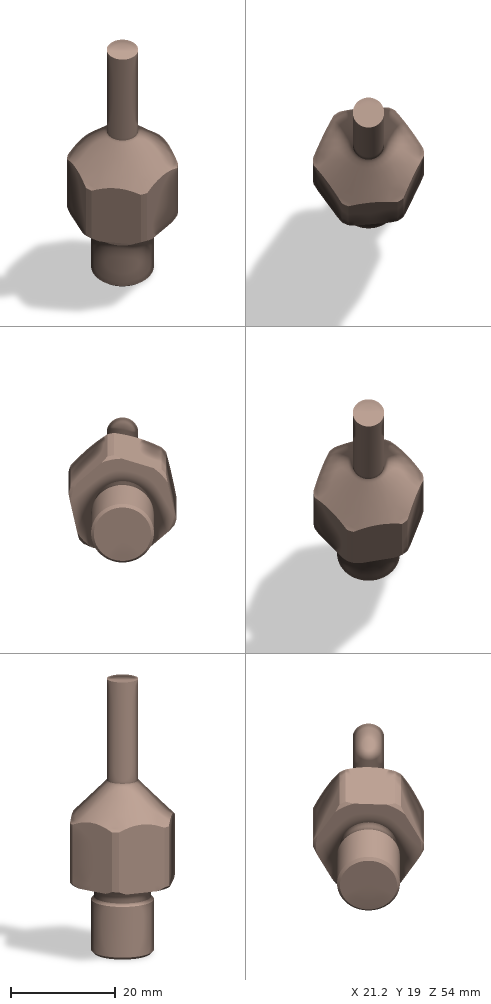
import cadquery as cq
import math

total_height = 54.0
stem_length = 20.0
hex_base_z = 14.05

stem_diameter = 6.0
stem_radius = stem_diameter / 2
body_diameter = 21.2
body_radius = body_diameter / 2
cone_base_z = total_height - stem_length - (body_radius - stem_radius)

across_flats = 19.0
hex_chamfer = 0.6

shank_radius = 6.0
groove_radius = 5.45
shank_chamfer = shank_radius - groove_radius
shank_top_z = 11.05


def make_hex_body():
    """Hexagonal prism trimmed by a cone above and a chamfered cylinder."""
    across_corners = across_flats / math.cos(math.pi / 6)
    prism = (
        cq.Workplane("XY")
        .workplane(offset=hex_base_z)
        .polygon(6, across_corners)
        .extrude(total_height - stem_length - hex_base_z)
    )
    envelope = (
        cq.Workplane("XZ")
        .moveTo(0, hex_base_z)
        .lineTo(body_radius - hex_chamfer, hex_base_z)
        .lineTo(body_radius, hex_base_z + hex_chamfer)
        .lineTo(body_radius, cone_base_z)
        .lineTo(stem_radius, total_height - stem_length)
        .lineTo(0, total_height - stem_length)
        .close()
        .revolve(360, (0, 0, 0), (0, 1, 0))
    )
    return prism.intersect(envelope)


def make_stem():
    """Plain round stem on top of the cone."""
    return (
        cq.Workplane("XY")
        .workplane(offset=total_height - stem_length)
        .circle(stem_radius)
        .extrude(stem_length)
    )


def make_shank():
    """Round shank, chamfered at both ends, with a groove below the hexagon."""
    return (
        cq.Workplane("XZ")
        .lineTo(groove_radius, 0)
        .lineTo(shank_radius, shank_chamfer)
        .lineTo(shank_radius, shank_top_z - shank_chamfer)
        .lineTo(groove_radius, shank_top_z)
        .lineTo(groove_radius, hex_base_z)
        .lineTo(0, hex_base_z)
        .close()
        .revolve(360, (0, 0, 0), (0, 1, 0))
    )


result = make_hex_body().union(make_stem()).union(make_shank())